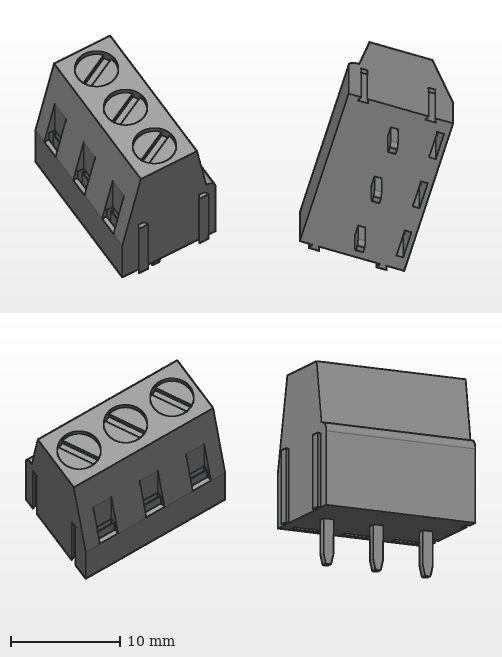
import cadquery as cq
import math


overall_length = 15.64
overall_height = 18.25

poles = 3
pole_pitch = 5.07
body_length = 15.24
body_depth = 10.0
body_height = 14.0
front_wall_height = 5.0
top_setback = 1.99
shoulder_height = 8.0
shoulder_radius = 1.0
mid_depth = body_depth / 2
pole_centers = [body_length / 2 + (i - (poles - 1) / 2) * pole_pitch for i in range(poles)]

screw_diameter = 4.0
screw_sink = 0.5
slot_width = 0.8
slot_depth = 0.5
slot_angle = 118

window_width = 1.99
sill_depth = 0.5
window_depth = 1.13
chamber_width = 2.6
chamber_height = 6.0
clamp_gap_bottom = 5.05
clamp_bar_radius = 1.1
clamp_bar_setback = 0.05
clamp_bar_length = 2.08

pin_length = overall_height - body_height
pin_width = 1.02
pin_thickness = 0.7
pin_taper_length = 1.0
pin_tip_width = 0.45
pin_bevel_width = 0.62
pin_bevel_height = 0.15

dovetail_height = 6.99
dovetail_depth = overall_length - body_length
dovetail_wide = 1.0
dovetail_narrow = 0.6
dovetail_positions = (2.05, 8.5)


def box(x_center, width, y_range, z_range):
    """Block centred on x_center, between the given Y and Z limits."""
    y_front, y_back = y_range
    z_bottom, z_top = z_range
    block = cq.Workplane("XY").box(width, y_back - y_front, z_top - z_bottom, centered=(True, False, False))
    return block.translate((x_center, y_front, z_bottom))


def housing():
    """Side outline with a sloped front, a sloped back and a rounded shoulder."""
    arc_drop = shoulder_radius * (1 - math.sqrt(0.5))
    return (
        cq.Workplane("YZ")
        .moveTo(0, 0)
        .lineTo(0, front_wall_height)
        .lineTo(top_setback, body_height)
        .lineTo(body_depth - top_setback, body_height)
        .lineTo(body_depth - shoulder_radius, shoulder_height)
        .threePointArc(
            (body_depth - arc_drop, shoulder_height - arc_drop),
            (body_depth, shoulder_height - shoulder_radius),
        )
        .lineTo(body_depth, 0)
        .close()
        .extrude(body_length)
    )


def screw_recess(x_center):
    """Round recess down to the screw head, with the driver slot cut into the head."""
    head_top = body_height - screw_sink
    recess = cq.Workplane("XY").circle(screw_diameter / 2).extrude(screw_sink)
    disc = cq.Workplane("XY").circle(screw_diameter / 2).extrude(-slot_depth)
    bar = cq.Workplane("XY").rect(screw_diameter, slot_width).extrude(-slot_depth)
    slot = bar.rotate((0, 0, 0), (0, 0, 1), slot_angle).intersect(disc)
    return recess.union(slot).translate((x_center, mid_depth, head_top))


def clamp_gap(x_center):
    """Gap in the back of the chamber, nearly filled by a rounded clamp bar lying along X."""
    bar_axis_y = window_depth + clamp_bar_setback + clamp_bar_radius
    gap = box(x_center, chamber_width, (sill_depth, bar_axis_y), (clamp_gap_bottom, chamber_height))
    bar = (
        cq.Workplane("YZ", origin=(x_center, bar_axis_y, front_wall_height))
        .circle(clamp_bar_radius)
        .extrude(clamp_bar_length / 2, both=True)
    )
    return gap.cut(bar)


def wire_entry(x_center):
    """Window in the sloped front above a wider chamber that is open at the underside."""
    window = box(x_center, window_width, (0, window_depth), (front_wall_height, body_height))
    chamber = box(x_center, chamber_width, (sill_depth, window_depth), (0, chamber_height))
    return window.union(chamber).union(clamp_gap(x_center))


def pin(x_center):
    """Flat solder pin with a tapered tip and a short bevel at its end."""
    levels = [
        (pin_width, 0),
        (pin_width, pin_taper_length - pin_length),
        (pin_bevel_width, pin_bevel_height - pin_length),
        (pin_tip_width, -pin_length),
    ]
    left_side = [(-width / 2, z) for width, z in levels]
    right_side = [(width / 2, z) for width, z in reversed(levels)]
    outline = left_side + right_side
    blade = cq.Workplane("XZ").polyline(outline).close().extrude(pin_thickness / 2, both=True)
    return blade.translate((x_center, mid_depth, 0))


def dovetail(x_start, y_center):
    """Upright dovetail, narrow at x_start and wide one dovetail depth to the right."""
    outline = [
        (0, -dovetail_narrow / 2),
        (dovetail_depth, -dovetail_wide / 2),
        (dovetail_depth, dovetail_wide / 2),
        (0, dovetail_narrow / 2),
    ]
    bar = cq.Workplane("XY").polyline(outline).close().extrude(dovetail_height)
    return bar.translate((x_start, y_center, 0))


result = housing()
for x in pole_centers:
    result = result.cut(screw_recess(x)).cut(wire_entry(x)).union(pin(x))
for y in dovetail_positions:
    result = result.cut(dovetail(0, y)).union(dovetail(body_length, y))